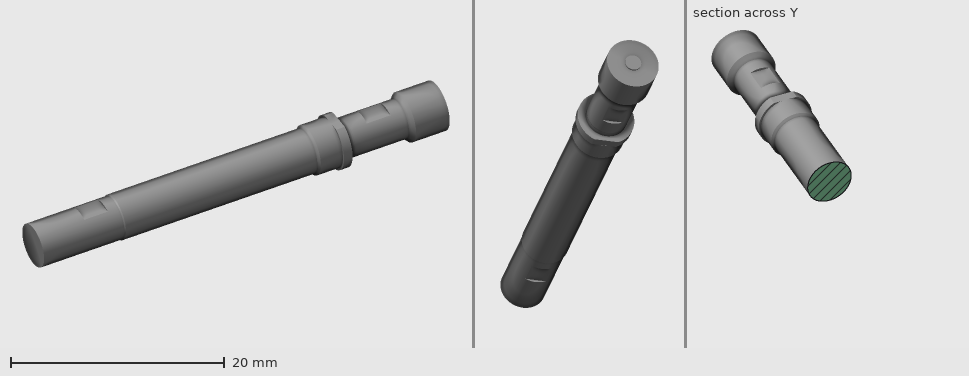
import cadquery as cq
import math

length = 43.0
head_diameter = 5.0
shaft_diameter = 4.0
neck_diameter = 3.95
flange_diameter = 5.45
collar_diameter = 5.0
sleeve_diameter = 4.5
tip_diameter = 4.35

sleeve_front = 8.5
sleeve_edge = 0.15
collar_front = 28.95
collar_edge = 0.25
flange_front = 31.5
flange_back = 32.42
neck_back = 32.95
shaft_edge = 0.15
head_front = 38.8
end_boss_height = 0.15
end_boss_diameter = 1.55
head_back = length - end_boss_height

flange_across_flats = 4.95
flat_length = 2.5
flat_width = 1.95
tip_flat_centre = 6.15
shaft_flat_centre = 36.1


def make_body():
    """Revolve the stepped half profile about the Y axis."""
    tip = tip_diameter / 2
    sleeve = sleeve_diameter / 2
    collar = collar_diameter / 2
    flange = flange_diameter / 2
    neck = neck_diameter / 2
    shaft = shaft_diameter / 2
    head = head_diameter / 2
    end_boss = end_boss_diameter / 2
    head_taper = head - shaft
    profile = [
        (0, 0),
        (tip, 0),
        (tip, sleeve_front),
        (sleeve, sleeve_front + sleeve_edge),
        (sleeve, collar_front),
        (collar, collar_front + collar_edge),
        (collar, flange_front),
        (flange, flange_front),
        (flange, flange_back),
        (neck, flange_back),
        (neck, neck_back),
        (shaft, neck_back + shaft_edge),
        (shaft, head_front),
        (head, head_front + head_taper),
        (head, head_back),
        (end_boss, head_back),
        (end_boss, length),
        (0, length),
    ]
    return cq.Workplane("XY").polyline(profile).close().revolve(360, (0, 0, 0), (0, 1, 0))


def cut_flats(body, centre, along, half_height):
    """Cut everything above and below the flats over a stretch of the body."""
    cutter_size = 2 * flange_diameter
    for side in (1, -1):
        cutter = cq.Workplane("XY").box(cutter_size, along, cutter_size)
        body = body.cut(cutter.translate((0, centre, side * (half_height + cutter_size / 2))))
    return body


def flat_height(diameter):
    """Distance from the axis to a flat of the standard width on a round."""
    return math.sqrt((diameter / 2) ** 2 - (flat_width / 2) ** 2)


flange_centre = (flange_front + flange_back) / 2
flange_thickness = flange_back - flange_front

result = make_body()
result = cut_flats(result, tip_flat_centre, flat_length, flat_height(tip_diameter))
result = cut_flats(result, shaft_flat_centre, flat_length, flat_height(shaft_diameter))
result = cut_flats(result, flange_centre, flange_thickness, flange_across_flats / 2)